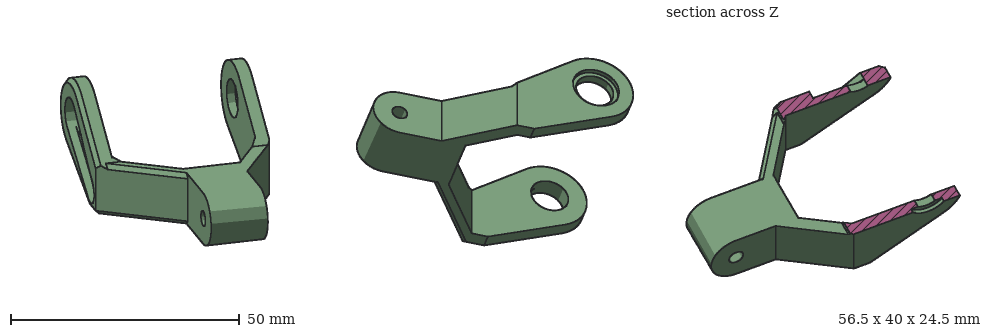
import cadquery as cq
import math


eye_radius = 8.5
eye_bore_radius = 8.5 / 2
hub_radius = 6.0
hub_bore_radius = 3.4 / 2
hub_x = 42.0
hub_z = -10.0
hub_top = hub_z + hub_radius
hub_bottom = hub_z - hub_radius
height = eye_radius - hub_bottom
upper_bend_x = 19.0
lower_bend_x = 14.1

fork_width = 40.0
front_y = -fork_width / 2
rear_y = fork_width / 2
front_arm_thickness = 4.0
rear_arm_thickness = 3.0
web_thickness = 3.0
front_web_angle = math.radians(55.7)
rear_web_angle = math.radians(33.3)
web_overlap = 2.0
hub_front_y = -2.5
hub_rear_y = 10.5
crotch_x = 27.0

edge_chamfer = 1.0
pocket_depth = 2.0
pocket_end_x = 14.85
pocket_end_z = -11.85
pocket_end_radius = 2.75
counterbore_radius = 10.5 / 2
counterbore_depth = 1.0


def on_circle(centre_x, centre_z, radius, angle):
    return centre_x + radius * math.cos(angle), centre_z + radius * math.sin(angle)


def eye_tangent(x, z, side):
    """Where a line from (x, z) touches the eye's rim; side is +1 for the upper touch, -1 for the lower."""
    angle = math.atan2(z, x) + side * math.acos(eye_radius / math.hypot(x, z))
    return on_circle(0, 0, eye_radius, angle)


def web_outer_x(y, hub_y, angle):
    """X of a web's outer wall at y; hub_y is where the web meets the hub, angle is signed."""
    hub_outer_x = crotch_x + web_thickness / abs(math.sin(angle))
    return hub_outer_x + (y - hub_y) / math.tan(angle)


def arm_outline(y):
    """Side outline of an arm at y: round eye and sloping top, its slope running on down into the web."""
    upper_x, upper_z = eye_tangent(upper_bend_x, hub_top, 1)
    run_per_drop = (upper_bend_x - upper_x) / (upper_z - hub_top)
    slope_end_x = upper_bend_x + hub_radius * run_per_drop
    return (
        cq.Workplane("XZ", origin=(0, y, 0))
        .moveTo(upper_x, upper_z)
        .lineTo(slope_end_x, hub_z)
        .lineTo(slope_end_x, hub_bottom)
        .lineTo(lower_bend_x, hub_bottom)
        .lineTo(*eye_tangent(lower_bend_x, hub_bottom, -1))
        .threePointArc((-eye_radius, 0), (upper_x, upper_z))
        .close()
    )


def bar(start_y, end_y):
    """Flat bar of the hub's height, from the upper bend to the rounded hub end."""
    return (
        cq.Workplane("XZ", origin=(0, start_y, 0))
        .moveTo(upper_bend_x, hub_top)
        .lineTo(hub_x, hub_top)
        .threePointArc((hub_x + hub_radius, hub_z), (hub_x, hub_bottom))
        .lineTo(upper_bend_x, hub_bottom)
        .close()
        .extrude(start_y - end_y)
    )


def hub():
    """Round-ended block that joins the two webs."""
    length = hub_x + hub_radius - crotch_x
    width = hub_rear_y - hub_front_y
    block = cq.Workplane("XY").box(length, width, 2 * hub_radius, centered=False)
    return block.translate((crotch_x, hub_front_y, hub_bottom)).intersect(bar(front_y, rear_y))


def arm_plan(outer_y, thickness, hub_y, angle):
    """Full-height prism over an arm's plan: parallel to X, then slanting into the hub."""
    inward = math.copysign(1, -outer_y)
    inner_y = outer_y + inward * thickness
    root_y = hub_y + inward * web_overlap

    def inner_x(y):
        return crotch_x + (y - hub_y) / math.tan(angle)

    outline = [
        (-eye_radius, outer_y),
        (web_outer_x(outer_y, hub_y, angle), outer_y),
        (web_outer_x(root_y, hub_y, angle), root_y),
        (inner_x(root_y), root_y),
        (inner_x(inner_y), inner_y),
        (-eye_radius, inner_y),
    ]
    return cq.Workplane("XY", origin=(0, 0, hub_bottom)).polyline(outline).close().extrude(height)


def arm_bevel():
    """Material to remove for the bevel around the front arm's outer face."""
    base_y = front_y + edge_chamfer
    blank = arm_outline(base_y).offset2D(edge_chamfer, "intersection").extrude(edge_chamfer)
    return blank.cut(arm_outline(base_y).extrude(edge_chamfer, taper=45))


def web_bevel(edge_z, toward_middle):
    """Material to remove along one long edge of the front web; toward_middle is the Z sign into the web."""
    reach = 2 * edge_chamfer
    along = cq.Vector(math.cos(front_web_angle), math.sin(front_web_angle), 0)
    outward = cq.Vector(math.sin(front_web_angle), -math.cos(front_web_angle), 0)
    bend = cq.Vector(web_outer_x(front_y, hub_front_y, front_web_angle), front_y, edge_z)
    plane = cq.Plane(origin=bend - along * reach, xDir=outward, normal=along)
    into_web = -toward_middle
    triangle = [
        (edge_chamfer, reach * into_web),
        (-reach, -edge_chamfer * into_web),
        (edge_chamfer, -reach * into_web),
    ]
    return cq.Workplane(plane).polyline(triangle).close().extrude(fork_width)


def front_arm():
    """Front arm with its outer edges bevelled."""
    plan = arm_plan(front_y, front_arm_thickness, hub_front_y, front_web_angle)
    arm = plan.intersect(arm_outline(front_y).extrude(-fork_width)).cut(arm_bevel())
    web = plan.intersect(bar(front_y, rear_y)).cut(web_bevel(hub_top, -1))
    return arm.union(web).cut(web_bevel(hub_bottom, 1))


def rear_arm():
    """Plain rear arm."""
    plan = arm_plan(rear_y, rear_arm_thickness, hub_rear_y, -rear_web_angle)
    arm = plan.intersect(arm_outline(front_y).extrude(-fork_width))
    return arm.union(plan.intersect(bar(front_y, rear_y)))


def bore(x, z, radius, start_y, end_y):
    """Round cutter parallel to Y."""
    return cq.Workplane("XZ", origin=(x, start_y, z)).circle(radius).extrude(start_y - end_y)


def front_pocket():
    """Tapering recess in the front arm, from a chord across the eye bore to a smaller round end."""
    reach = math.hypot(pocket_end_x, pocket_end_z)
    direction = math.atan2(pocket_end_z, pocket_end_x)
    spread = math.acos((eye_bore_radius - pocket_end_radius) / reach)
    upper = direction + spread
    lower = direction - spread
    end = (pocket_end_x, pocket_end_z, pocket_end_radius)
    return (
        cq.Workplane("XZ", origin=(0, front_y, 0))
        .moveTo(*on_circle(0, 0, eye_bore_radius, upper))
        .lineTo(*on_circle(*end, upper))
        .threePointArc(on_circle(*end, direction), on_circle(*end, lower))
        .lineTo(*on_circle(0, 0, eye_bore_radius, lower))
        .close()
        .extrude(-pocket_depth)
    )


body = hub().union(front_arm()).union(rear_arm())
body = body.cut(bore(0, 0, eye_bore_radius, front_y, rear_y))
body = body.cut(front_pocket())
body = body.cut(bore(hub_x, hub_z, hub_bore_radius, front_y, rear_y))
body = body.cut(bore(0, 0, counterbore_radius, rear_y - counterbore_depth, rear_y))

result = body